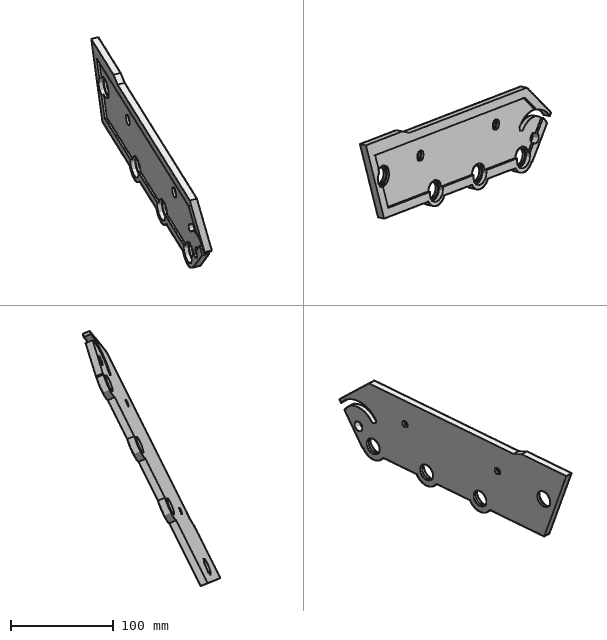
import cadquery as cq
import math

length = 301.5
thickness = 7.5
height = 89.0
bottom_edge = 7.5
top_edge = 84.7
bottom_left_x = 29.5
bottom_right_x = 271.0
top_right_x = 262.0
nose_z = 50.0

pad_end_x = 59.5
ramp_end_x = 70.2

rim_width = 9.3
recess_depth = 2.25

lobe_radius = 15.0
lobe_pitch = 70.8
first_lobe_x = 115.0
lobe_centers = [(first_lobe_x + i * lobe_pitch, lobe_radius) for i in range(3)]
left_hole_center = (30.0, 50.0)
large_hole_diameter = 17.0
large_bore_diameter = 21.0
large_bore_depth = 4.8

small_hole_centers = [(91.5, 56.0), (214.5, 58.2)]
small_hole_diameter = 7.0
small_bore_diameter = 10.2
small_bore_depth = 4.8

pivot = (276.0, 29.8)
pivot_diameter = 10.2
slot_radius = 25.0
slot_width = 7.0
slot_closed_angle = 142.0
slot_open_angle = 10.0


def extrude_back(sketch, depth):
    """Extrude an XZ sketch from the front face toward +Y."""
    return sketch.extrude(-depth)


def front_plane():
    return cq.Workplane("XZ")


def cylinders(centers, diameter, depth):
    return extrude_back(front_plane().pushPoints(centers).circle(diameter / 2), depth)


def pivot_polar(radius, angle):
    """Point at a given radius and angle (degrees) about the pivot."""
    turn = math.radians(angle)
    return (pivot[0] + radius * math.cos(turn), pivot[1] + radius * math.sin(turn))


def make_plate():
    outline = [
        (0, height),
        (pad_end_x, height),
        (ramp_end_x, top_edge),
        (top_right_x, top_edge),
        (length, nose_z),
        (bottom_right_x, bottom_edge),
        (bottom_left_x, bottom_edge),
    ]
    plate = extrude_back(front_plane().polyline(outline).close(), thickness)
    return plate.union(cylinders(lobe_centers, 2 * lobe_radius, thickness))


def make_recess():
    left_slope = bottom_left_x / (height - bottom_edge)
    top_left_x = (height - top_edge) * left_slope
    border = [
        (top_left_x, top_edge),
        (top_right_x, top_edge),
        (length, nose_z),
        (bottom_right_x, bottom_edge),
        (bottom_left_x, bottom_edge),
    ]
    floor = front_plane().polyline(border).close().offset2D(-rim_width, "intersection")
    return extrude_back(floor, recess_depth)


def make_slot():
    outer_radius = slot_radius + slot_width / 2
    inner_radius = slot_radius - slot_width / 2
    middle_angle = (slot_open_angle + slot_closed_angle) / 2
    closed_center = pivot_polar(slot_radius, slot_closed_angle)
    band = (
        front_plane()
        .moveTo(*pivot_polar(outer_radius, slot_open_angle))
        .threePointArc(
            pivot_polar(outer_radius, middle_angle),
            pivot_polar(outer_radius, slot_closed_angle),
        )
        .lineTo(*pivot_polar(inner_radius, slot_closed_angle))
        .threePointArc(
            pivot_polar(inner_radius, middle_angle),
            pivot_polar(inner_radius, slot_open_angle),
        )
        .close()
    )
    round_end = cylinders([closed_center], slot_width, thickness)
    return extrude_back(band, thickness).union(round_end)


def cut_counterbored(body, centers, hole_diameter, bore_diameter, bore_depth):
    body = body.cut(cylinders(centers, hole_diameter, thickness))
    return body.cut(cylinders(centers, bore_diameter, bore_depth))


result = make_plate().cut(make_recess()).cut(make_slot())
result = result.cut(cylinders([pivot], pivot_diameter, thickness))
result = cut_counterbored(
    result,
    lobe_centers + [left_hole_center],
    large_hole_diameter,
    large_bore_diameter,
    large_bore_depth,
)
result = cut_counterbored(
    result,
    small_hole_centers,
    small_hole_diameter,
    small_bore_diameter,
    small_bore_depth,
)